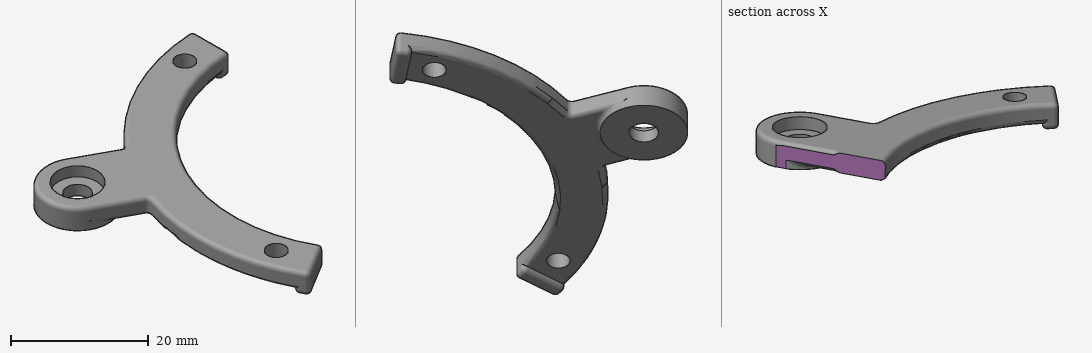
import cadquery as cq
import math

plate_thickness = 3.175
total_height = 4.064
edge_round = 0.762

arm_outer_radius = 35.56
arm_inner_radius = 27.94
arm_end_angle = 30.0

tab_width = 12.7
tab_center_y = -43.99

arm_hole_diameter = 3.45
arm_hole_angle = 41.2

tab_hole_diameter = 4.3
counterbore_diameter = 7.94
counterbore_depth = 2.0

foot_length = 2.35

foot_height = total_height - plate_thickness
tab_radius = tab_width / 2
arm_mid_radius = (arm_outer_radius + arm_inner_radius) / 2


def polar(radius, degrees_below_x):
    """Point on a circle about the arm centre, measured clockwise from +X."""
    angle = math.radians(degrees_below_x)
    return radius * math.cos(angle), -radius * math.sin(angle)


def make_arm(bottom):
    """Sharp-edged ring sector from the given bottom level to the top."""
    start = arm_end_angle
    end = 180 - arm_end_angle
    return (
        cq.Workplane("XY", origin=(0, 0, bottom))
        .moveTo(*polar(arm_inner_radius, start))
        .lineTo(*polar(arm_outer_radius, start))
        .threePointArc(polar(arm_outer_radius, 90), polar(arm_outer_radius, end))
        .lineTo(*polar(arm_inner_radius, end))
        .threePointArc(polar(arm_inner_radius, 90), polar(arm_inner_radius, start))
        .close()
        .extrude(total_height - bottom)
    )


def make_tab():
    """Round-ended tab reaching from the middle of the arm toward -Y."""
    return (
        cq.Workplane("XY", origin=(0, 0, foot_height))
        .moveTo(-tab_radius, -arm_mid_radius)
        .lineTo(-tab_radius, tab_center_y)
        .threePointArc((0, tab_center_y - tab_radius), (tab_radius, tab_center_y))
        .lineTo(tab_radius, -arm_mid_radius)
        .close()
        .extrude(plate_thickness)
    )


def make_plate():
    """Arm and tab as one plate, rounded along its top and bottom outlines."""
    arm = make_arm(foot_height).edges("|Z").fillet(edge_round)
    plate = arm.union(make_tab())
    joint_y = -math.sqrt(arm_outer_radius**2 - tab_radius**2)
    joint_z = foot_height + plate_thickness / 2
    for side in (1, -1):
        joint = cq.selectors.NearestToPointSelector((side * tab_radius, joint_y, joint_z))
        plate = plate.edges("|Z").edges(joint).fillet(edge_round)
    return plate.faces("<Z or >Z").edges().fillet(edge_round)


def make_foot(side):
    """Block at one arm end with rounded corners and bottom; side is +1 for +X and -1 for -X."""
    strip = (
        cq.Workplane("XY")
        .center(side * arm_mid_radius, 0)
        .rect(arm_mid_radius, 2 * foot_length)
        .extrude(foot_height + plate_thickness / 2)
        .rotate((0, 0, 0), (0, 0, 1), -side * arm_end_angle)
    )
    block = make_arm(0).intersect(strip).edges("|Z").fillet(edge_round)
    return block.faces("<Z").edges().fillet(edge_round)


def add_boss(plate):
    """Round boss below the tab end, blended into the underside of the tab."""
    boss = (
        cq.Workplane("XY")
        .center(0, tab_center_y)
        .circle(tab_radius)
        .extrude(total_height - edge_round)
    )
    seam_zone = cq.selectors.BoxSelector(
        (-tab_width, tab_center_y, foot_height / 2),
        (tab_width, tab_center_y + tab_radius, foot_height + edge_round),
    )
    seam = plate.union(boss).edges("not %LINE").edges(seam_zone)
    return seam.fillet(edge_round)


def cut_holes(body):
    """Through holes in both arms, and a counterbored hole in the tab end."""
    arm_holes = [polar(arm_mid_radius, a) for a in (arm_hole_angle, 180 - arm_hole_angle)]
    top = cq.Workplane("XY", origin=(0, 0, total_height))
    body = body.cut(top.pushPoints(arm_holes).circle(arm_hole_diameter / 2).extrude(-total_height))
    tab_end = top.center(0, tab_center_y)
    body = body.cut(tab_end.circle(tab_hole_diameter / 2).extrude(-total_height))
    return body.cut(tab_end.circle(counterbore_diameter / 2).extrude(-counterbore_depth))


body = add_boss(make_plate())
for side in (1, -1):
    body = body.union(make_foot(side))
result = cut_holes(body)